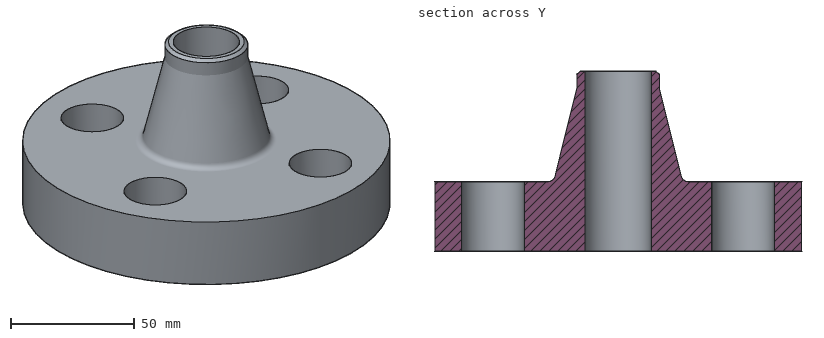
import cadquery as cq

flange_diameter = 149.3
flange_thickness = 28.4
total_height = 73.2

bolt_hole_count = 4
bolt_hole_diameter = 25.4
bolt_circle_diameter = 101.5

bore_diameter = 26.9
neck_end_diameter = 33.7
neck_end_length = 7.0
hub_base_diameter = 52.5
hub_fillet_radius = 3.0

bevel_width = 1.5
bevel_height = 1.2


def flange_plate():
    return cq.Workplane("XY").circle(flange_diameter / 2).extrude(flange_thickness)


def welding_neck():
    """Solid of revolution: tapered hub, short straight end and end bevel."""
    end_radius = neck_end_diameter / 2
    profile = (
        cq.Workplane("XZ")
        .moveTo(0, flange_thickness)
        .lineTo(hub_base_diameter / 2, flange_thickness)
        .lineTo(end_radius, total_height - neck_end_length)
        .lineTo(end_radius, total_height - bevel_height)
        .lineTo(end_radius - bevel_width, total_height)
        .lineTo(0, total_height)
        .close()
    )
    return profile.revolve(360, (0, 0, 0), (0, 1, 0))


def fillet_hub_base(body):
    """Round the circular edge where the hub meets the flange face."""
    hub_radius = hub_base_diameter / 2
    selector_margin = 0.1
    hub_edge = cq.selectors.BoxSelector(
        (-hub_radius - selector_margin, -hub_radius - selector_margin, flange_thickness - selector_margin),
        (hub_radius + selector_margin, hub_radius + selector_margin, flange_thickness + selector_margin),
        boundingbox=True,
    )
    return body.edges(hub_edge).fillet(hub_fillet_radius)


def bore():
    return cq.Workplane("XY").circle(bore_diameter / 2).extrude(total_height)


def bolt_holes():
    return (
        cq.Workplane("XY")
        .polarArray(bolt_circle_diameter / 2, 0, 360, bolt_hole_count)
        .circle(bolt_hole_diameter / 2)
        .extrude(flange_thickness)
    )


body = fillet_hub_base(flange_plate().union(welding_neck()))
result = body.cut(bore()).cut(bolt_holes())